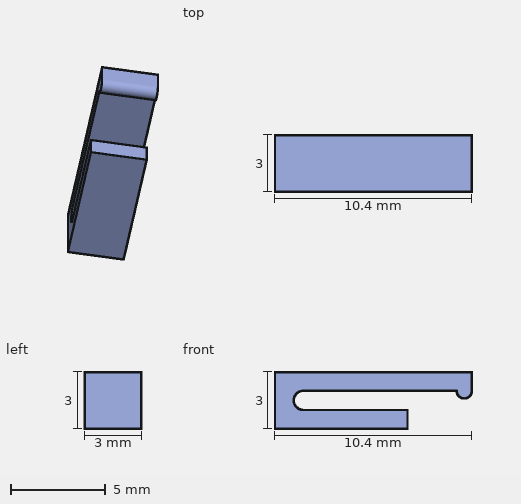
import cadquery as cq

length = 10.4
height = 3.0
width = height
lower_length = 7.0
wall = height / 3
bump_radius = 0.41

slot_bottom = wall
slot_top = height - wall
slot_radius = (slot_top - slot_bottom) / 2
slot_end = wall
slot_round_start = slot_end + slot_radius

profile = (
    cq.Workplane("XZ")
    .moveTo(0, 0)
    .lineTo(lower_length, 0)
    .lineTo(lower_length, slot_bottom)
    .lineTo(slot_round_start, slot_bottom)
    .threePointArc((slot_end, height / 2), (slot_round_start, slot_top))
    .lineTo(length - 2 * bump_radius, slot_top)
    .threePointArc((length - bump_radius, slot_top - bump_radius), (length, slot_top))
    .lineTo(length, height)
    .lineTo(0, height)
    .close()
)

result = profile.extrude(-width)